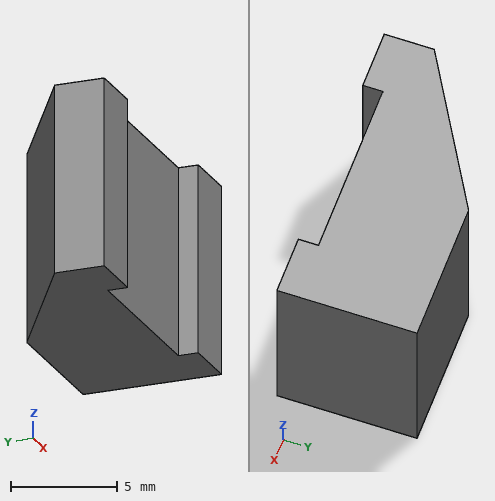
import cadquery as cq
import math

length = 15.0
depth = 7.0
height = 9.5

foot_width = 3.0
recess_depth = 1.0

end_depth = 2.5
slope_angle = 30.0
slope_run = (depth - end_depth) / math.tan(math.radians(slope_angle))

outline = [
    (0, 0),
    (foot_width, 0),
    (foot_width, recess_depth),
    (length - foot_width, recess_depth),
    (length - foot_width, 0),
    (length, 0),
    (length, depth),
    (slope_run, depth),
    (0, end_depth),
]

result = cq.Workplane("XY").polyline(outline).close().extrude(height)